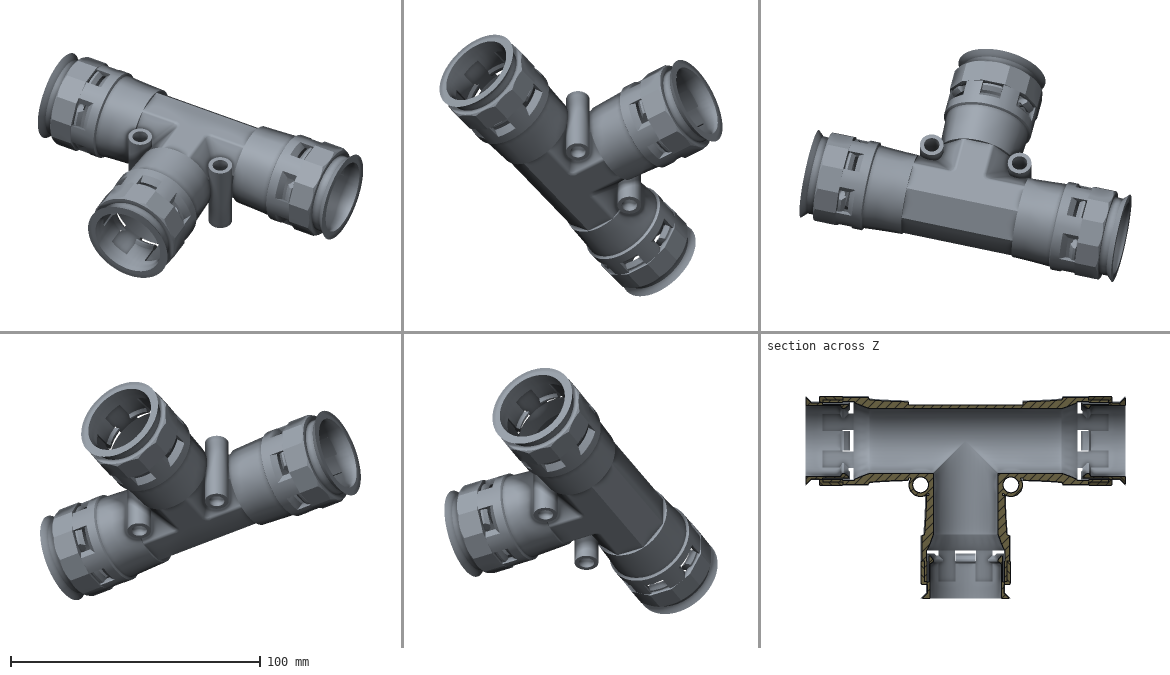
import cadquery as cq
import math

run_half_length = 64.2
branch_length = 63.1

arm_radius = 18.0
sleeve_bore_radius = 14.6
sleeve_radius = 15.8
neck_radius = 17.0
flow_bore_radius = 13.3

flare_depth = 2.3
collar_start = 5.5
sleeve_end = 6.8
neck_start = sleeve_end
collar_end = 14.9
window_end = 21.4
shoulder_end = 25.2
cone_start = 25.7
cone_end = 41.3
taper_end = cone_start

cone_start_radius = 17.0
cone_end_radius = 16.2

window_bevel = 2.2
socket_depth = window_end - window_bevel
center_window_half_width = 4.2
side_window_inner_y = 10.9
side_window_corner = (17.5, 4.5)
center_finger_half_width = 4.0
side_finger_corner = (16.8, 4.6)
side_finger_outer_z = 9.9
side_slope = math.tan(math.radians(30))

tooth_radius = flow_bore_radius
tooth_start = 13.9
tooth_crest_start = 14.8
tooth_crest_end = 15.5
hook_radius = 17.3
hook_crest_start = 15.5
hook_crest_end = 16.4
hook_tip = 18.0
hook_tip_radius = 15.9
hook_heel = 17.2
hook_heel_radius = 15.4

collar_sides = 12
collar_chamfer_length = 0.9
collar_chamfer_end_radius = 17.8

block_apothem = 14.9
block_back_y = 14.5
block_back_flat = 5.6
block_edge_radius = 1.8
block_corner_radius = 2.6

boss_x = 18.1
boss_y = -17.6
boss_radius = 4.7
boss_hole_radius = 3.1
boss_top = 12.2
boss_bottom = -arm_radius

reach = 2 * arm_radius


def revolve_about_arm(points):
    """Turn (distance along arm, radius) points about the arm axis, local X."""
    return cq.Workplane("XZ").polyline(points).close().revolve(360, (0, 0, 0), (1, 0, 0))


def six_sectors(center_half_width, side_section):
    """Top and bottom sectors plus four side sectors, mirrored about both mid-planes.

    The side section is a list of (Y, Z) corners in the +Y, +Z quadrant.
    """
    sectors = cq.Workplane("YZ").rect(2 * center_half_width, 2 * reach).extrude(reach)
    side = cq.Workplane("YZ").polyline(side_section).close().extrude(reach)
    side = side.union(side.mirror("XY"))
    return sectors.union(side).union(side.mirror("XZ"))


def sloping_side_z(corner, y):
    """Height at Y of the sloping side that passes through a (Y, Z) corner."""
    return corner[1] + (y - corner[0]) * side_slope


def place_arms(shape):
    """Copies of an arm shape at the left, right and branch ends."""
    left = shape.translate((-run_half_length, 0, 0))
    right = left.rotate((0, 0, 0), (0, 0, 1), 180)
    branch = shape.rotate((0, 0, 0), (0, 0, 1), 90).translate((0, -branch_length, 0))
    return [left, right, branch]


def make_collar():
    corner_diameter = 2 * arm_radius / math.cos(math.pi / collar_sides)
    ring = (
        cq.Workplane("YZ")
        .workplane(offset=collar_start)
        .transformed(rotate=(0, 0, 180 / collar_sides))
        .polygon(collar_sides, corner_diameter)
        .extrude(collar_end - collar_start)
    )
    chamfer_end = collar_start + collar_chamfer_length
    corner_radius = corner_diameter / 2
    envelope = revolve_about_arm([
        (collar_start, sleeve_radius),
        (collar_start, collar_chamfer_end_radius),
        (chamfer_end, corner_radius),
        (collar_end, corner_radius),
        (collar_end, neck_radius),
        (neck_start, neck_radius),
        (neck_start, sleeve_radius),
    ])
    return ring.intersect(envelope)


def make_sleeve():
    ring = revolve_about_arm([
        (0, sleeve_bore_radius),
        (0, arm_radius),
        (flare_depth, sleeve_radius),
        (sleeve_end, sleeve_radius),
        (sleeve_end, sleeve_bore_radius),
    ])
    finger_ring = revolve_about_arm([
        (sleeve_end, sleeve_bore_radius),
        (sleeve_end, sleeve_radius),
        (collar_end, sleeve_radius),
        (hook_crest_start, hook_radius),
        (hook_crest_end, hook_radius),
        (hook_tip, hook_tip_radius),
        (hook_heel, hook_heel_radius),
        (hook_heel, sleeve_bore_radius),
        (tooth_crest_end, tooth_radius),
        (tooth_crest_start, tooth_radius),
        (tooth_start, sleeve_bore_radius),
    ])
    outer_y = side_finger_corner[0] + (side_finger_outer_z - side_finger_corner[1]) / side_slope
    inner_y = tooth_radius / 2
    sectors = six_sectors(center_finger_half_width, [
        (inner_y, sloping_side_z(side_finger_corner, inner_y)),
        (outer_y, side_finger_outer_z),
        (inner_y, side_finger_outer_z),
    ])
    return ring.union(finger_ring.intersect(sectors))


def make_tee_arm():
    """Neck, shoulder and cone of one arm, still without its bore."""
    return revolve_about_arm([
        (neck_start, 0),
        (neck_start, neck_radius),
        (collar_end, neck_radius),
        (collar_end, arm_radius),
        (shoulder_end, arm_radius),
        (cone_start, cone_start_radius),
        (cone_end, cone_end_radius),
        (cone_end, 0),
    ])


def make_arm_cutter():
    """Socket bore and its inner taper, with the six windows that open through its wall."""
    socket = revolve_about_arm([
        (neck_start, 0),
        (neck_start, sleeve_radius),
        (socket_depth, sleeve_radius),
        (taper_end, flow_bore_radius),
        (taper_end, 0),
    ])
    window_ring = revolve_about_arm([
        (collar_end, sleeve_radius),
        (collar_end, arm_radius),
        (window_end, arm_radius),
        (socket_depth, sleeve_radius),
    ])
    sectors = six_sectors(center_window_half_width, [
        (side_window_inner_y, sloping_side_z(side_window_corner, side_window_inner_y)),
        (reach, sloping_side_z(side_window_corner, reach)),
        (side_window_inner_y, reach),
    ])
    return socket.union(window_ring.intersect(sectors))


def make_block():
    """Octagonal run and branch with rounded inside corners and rounded front edges."""
    half_flat = block_apothem * math.tan(math.pi / 8)
    back_half_height = block_apothem + block_back_flat - block_back_y
    run_length = 2 * (run_half_length - cone_end)
    run = (
        cq.Workplane("YZ")
        .polyline([
            (-half_flat, block_apothem),
            (block_back_flat, block_apothem),
            (block_back_y, back_half_height),
            (block_back_y, -back_half_height),
            (block_back_flat, -block_apothem),
            (-half_flat, -block_apothem),
            (-block_apothem, -half_flat),
            (-block_apothem, half_flat),
        ])
        .close()
        .extrude(run_length / 2, both=True)
    )
    octagon_diameter = 2 * block_apothem / math.cos(math.pi / 8)
    branch = (
        cq.Workplane("XZ")
        .transformed(rotate=(0, 0, 180 / 8))
        .polygon(8, octagon_diameter)
        .extrude(branch_length - cone_end)
    )
    block = run.union(branch)

    for side in (-1, 1):
        inside_corner = cq.selectors.BoxSelector(
            (side * (half_flat + 1.3), -half_flat - 1.3, -block_apothem),
            (side * (block_apothem + 1.3), -block_apothem - 1.3, block_apothem),
        )
        block = block.edges(inside_corner).fillet(block_corner_radius)

    between_cones = cq.selectors.BoxSelector(
        (0.1 - run_length / 2, cone_end + 0.1 - branch_length, -reach),
        (run_length / 2 - 0.1, 0, reach),
    )
    for flat_face in ("<Z", ">Z"):
        block = block.faces(flat_face).edges(between_cones).fillet(block_edge_radius)
    return block


def make_flow_bore():
    """Through bore of the run and the branch bore that meets it on the axis."""
    run = cq.Workplane("YZ").circle(flow_bore_radius).extrude(run_half_length, both=True)
    branch = cq.Workplane("XZ").circle(flow_bore_radius).extrude(branch_length)
    return run.union(branch)


def make_tee():
    tee = make_block()
    for arm in place_arms(make_tee_arm()):
        tee = tee.union(arm)
    boss_points = [(-boss_x, boss_y), (boss_x, boss_y)]
    boss_base = cq.Workplane("XY").workplane(offset=boss_bottom).pushPoints(boss_points)
    boss_height = boss_top - boss_bottom
    tee = tee.union(boss_base.circle(boss_radius).extrude(boss_height))
    tee = tee.cut(boss_base.circle(boss_hole_radius).extrude(boss_height))
    for cutter in place_arms(make_arm_cutter()):
        tee = tee.cut(cutter)
    return tee.cut(make_flow_bore())


tee = make_tee()
collars = place_arms(make_collar())
sleeves = place_arms(make_sleeve())

result = cq.Compound.makeCompound(
    [tee.val()]
    + [collar.val() for collar in collars]
    + [sleeve.val() for sleeve in sleeves]
)